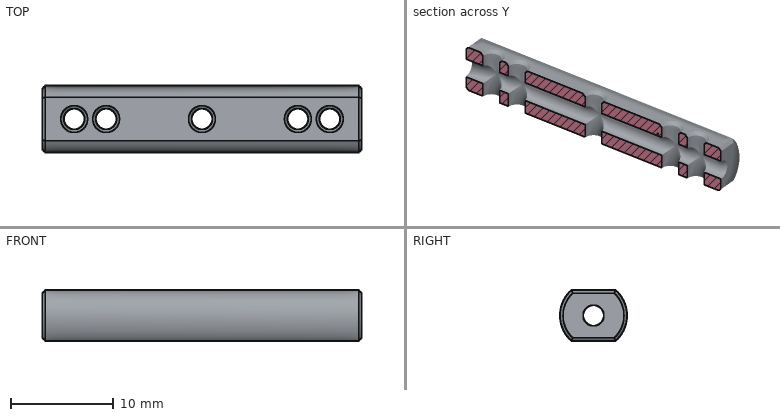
import cadquery as cq

length = 31.25
body_diameter = 6.6
flat_height = 5.0
end_chamfer = 0.3
hole_diameter = 2.0
countersink_diameter = 2.62
inner_hole_offset = 9.38
outer_hole_offset = 12.5

hole_positions = [
    (-outer_hole_offset, 0),
    (-inner_hole_offset, 0),
    (0, 0),
    (inner_hole_offset, 0),
    (outer_hole_offset, 0),
]
countersink_angle = 90.0


def make_body():
    """Round bar with flats on top and bottom, chamfered at both ends."""
    bar = cq.Workplane("YZ").circle(body_diameter / 2).extrude(length / 2, both=True)
    flats = cq.Workplane("XY").box(length, body_diameter, flat_height)
    return bar.intersect(flats).faces("<X or >X").chamfer(end_chamfer)


def drill_cross_holes(body):
    """Through holes countersunk into the top flat."""
    top_flat = body.faces(">Z").workplane(origin=(0, 0, flat_height / 2))
    return top_flat.pushPoints(hole_positions).cskHole(hole_diameter, countersink_diameter, countersink_angle)


def drill_lengthwise_bore(body):
    """Plain bore through the full length, on the bar axis."""
    bore = cq.Workplane("YZ").circle(hole_diameter / 2).extrude(length / 2, both=True)
    return body.cut(bore)


result = drill_lengthwise_bore(drill_cross_holes(make_body()))